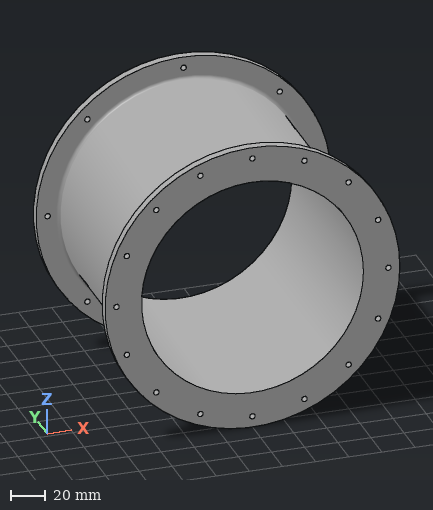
import cadquery as cq

flange_diameter = 178.0
length = 131.0
flange_thickness = 5.3

bore_diameter = 133.9
tube_diameter = 149.3
fillet_radius = 2.0

bolt_circle_diameter = 164.1
hole_diameter = 3.2
rear_hole_count = 8
front_hole_count = 2 * rear_hole_count


def cylinder_along_y(diameter, y_start, y_end):
    """Solid cylinder about the Y axis between two Y positions."""
    return (
        cq.Workplane("XZ", origin=(0, y_start, 0))
        .circle(diameter / 2)
        .extrude(y_start - y_end)
    )


def bolt_holes(count, y_start, y_end):
    """Ring of evenly spaced hole cutters, the first one on +X."""
    return (
        cq.Workplane("XZ", origin=(0, y_start, 0))
        .polarArray(bolt_circle_diameter / 2, 0, 360, count)
        .circle(hole_diameter / 2)
        .extrude(y_start - y_end)
    )


front_face = -length / 2
rear_face = length / 2
front_shoulder = front_face + flange_thickness
rear_shoulder = rear_face - flange_thickness

body = cylinder_along_y(tube_diameter, front_face, rear_face)
body = body.union(cylinder_along_y(flange_diameter, front_face, front_shoulder))
body = body.union(cylinder_along_y(flange_diameter, rear_shoulder, rear_face))

corner_reach = tube_diameter / 2 + fillet_radius
corner_edges = cq.selectors.BoxSelector(
    (-corner_reach, front_shoulder - fillet_radius, -corner_reach),
    (corner_reach, rear_shoulder + fillet_radius, corner_reach),
    boundingbox=True,
)
body = body.edges("%CIRCLE").edges(corner_edges).fillet(fillet_radius)

body = body.cut(cylinder_along_y(bore_diameter, front_face, rear_face))
body = body.cut(bolt_holes(front_hole_count, front_face, front_shoulder))
body = body.cut(bolt_holes(rear_hole_count, rear_shoulder, rear_face))

result = body